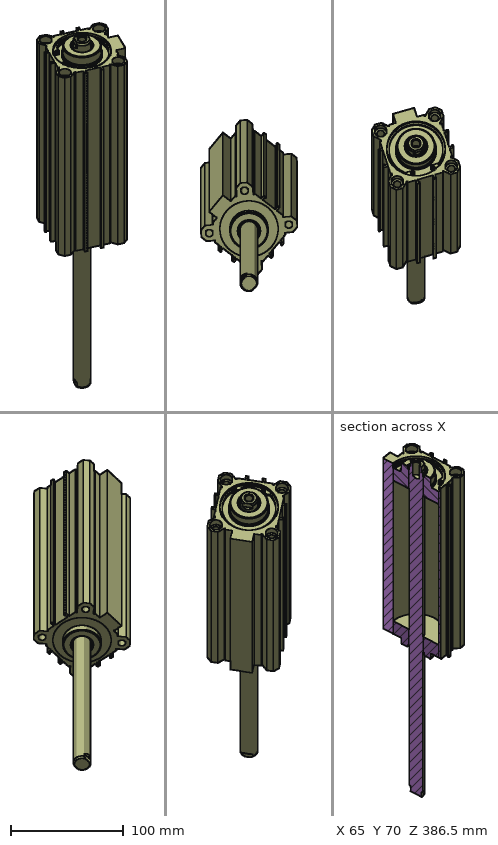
import cadquery as cq
import math


ROD_LENGTH = 386.5
BODY_BOTTOM = 173.5
BODY_HEIGHT = 200.0
BODY_TOP = BODY_BOTTOM + BODY_HEIGHT
TOP_BOSS_HEIGHT = 5.8
BOTTOM_BOSS_HEIGHT = 6.5

WALL_HALF = 28.5
WALL_WIDTH = 32.5
CORE_HALF = 27.5
ENVELOPE_HALF = 32.5
BOLT_OFFSET = 25.0
BOLT_HOLE_DIAMETER = 6.5
COUNTERBORE_DIAMETER = 11.0
COUNTERBORE_DEPTH = 7.0
BORE_DIAMETER = 51.8
PORT_BLOCK_WIDTH = 19.7
PORT_BLOCK_Y = 37.5

RAIL_OUTER = 9.0
RAIL_WEB = 2.0
RAIL_LIP_WIDTH = 2.7
RAIL_LIP_THICKNESS = 1.0
RAIL_ANGLES = (0, 90, 180)

RING_DIAMETER = 52.0
RING_INNER_DIAMETER = 48.0
RING_THICKNESS = 2.5
RING_DEPTH = 2.7
EAR_OUTER_X = 15.0
EAR_DIAMETER = 4.5
EAR_HOLE_DIAMETER = 2.5
EAR_HOLE_X = 9.5
EAR_HOLE_Y = 20.5

COVER_LENGTH = 15.5
BOSS_DIAMETER = 34.0
BOSS_CHAMFER = 0.8
TOP_BOSS_BASE_DIAMETER = 36.5
TOP_BOSS_BASE_HEIGHT = 2.0
WIPER_DIAMETER = 18.0
WIPER_MOUTH_DIAMETER = 20.5
WIPER_DEPTH = 3.0

ROD_DIAMETER = 16.0
ROD_CHAMFER_LENGTH = 2.0
ROD_CHAMFER_WIDTH = 1.0
FLATS_WIDTH = 12.8
FLATS_LENGTH = 5.5
THREAD_DIAMETER = 7.0
THREAD_MOUTH_DIAMETER = 8.5
THREAD_DEPTH = 15.5
DRILL_POINT_ANGLE = 140.0

COVER_SEAT = BODY_TOP - RING_DEPTH - RING_THICKNESS


def cylinder(diameter, bottom, top):
    return cq.Workplane("XY").workplane(offset=bottom).circle(diameter / 2).extrude(top - bottom)


def block(x_min, x_max, y_min, y_max, bottom, top):
    size = (x_max - x_min, y_max - y_min, top - bottom)
    return cq.Workplane("XY").box(*size, centered=False).translate((x_min, y_min, bottom))


def body_block(x_min, x_max, y_min, y_max):
    """A block as long as the housing."""
    return block(x_min, x_max, y_min, y_max, BODY_BOTTOM, BODY_TOP)


def corner_lug():
    """Octagonal lug around the bolt hole at +X +Y, with 45 degree flanks running into the core."""
    lug_half = ENVELOPE_HALF - BOLT_OFFSET
    flat_half = lug_half * math.tan(math.pi / 8)
    flat_start = BOLT_OFFSET - flat_half
    flat_end = BOLT_OFFSET + flat_half
    root = flat_start - (ENVELOPE_HALF - CORE_HALF)
    outline = [
        (root, CORE_HALF),
        (flat_start, ENVELOPE_HALF),
        (flat_end, ENVELOPE_HALF),
        (ENVELOPE_HALF, flat_end),
        (ENVELOPE_HALF, flat_start),
        (CORE_HALF, root),
    ]
    return cq.Workplane("XY").workplane(offset=BODY_BOTTOM).polyline(outline).close().extrude(BODY_HEIGHT)


def rail_pair():
    """The two facing rails on the -X wall."""
    web = body_block(-ENVELOPE_HALF, -WALL_HALF, RAIL_OUTER - RAIL_WEB, RAIL_OUTER)
    lip = body_block(
        -ENVELOPE_HALF, RAIL_LIP_THICKNESS - ENVELOPE_HALF, RAIL_OUTER - RAIL_LIP_WIDTH, RAIL_OUTER
    )
    rail = web.union(lip)
    return rail.union(rail.mirror("XZ"))


def about_axis(shape, angle):
    return shape.rotate((0, 0, 0), (0, 0, 1), angle)


def make_housing():
    half_wall = WALL_WIDTH / 2
    housing = body_block(-CORE_HALF, CORE_HALF, -CORE_HALF, CORE_HALF)
    housing = housing.union(body_block(-WALL_HALF, WALL_HALF, -half_wall, half_wall))
    housing = housing.union(body_block(-half_wall, half_wall, -WALL_HALF, WALL_HALF))
    for angle in (0, 90, 180, 270):
        housing = housing.union(about_axis(corner_lug(), angle))
    for angle in RAIL_ANGLES:
        housing = housing.union(about_axis(rail_pair(), angle))
    half_port = PORT_BLOCK_WIDTH / 2
    housing = housing.union(body_block(-half_port, half_port, 0, PORT_BLOCK_Y))
    housing = (
        housing.faces(">Z")
        .workplane(origin=(0, 0, BODY_TOP))
        .rect(2 * BOLT_OFFSET, 2 * BOLT_OFFSET, forConstruction=True)
        .vertices()
        .cboreHole(BOLT_HOLE_DIAMETER, COUNTERBORE_DIAMETER, COUNTERBORE_DEPTH)
    )
    bore = cylinder(BORE_DIAMETER, BODY_BOTTOM, BODY_TOP)
    ring_groove = cylinder(RING_DIAMETER, COVER_SEAT, COVER_SEAT + RING_THICKNESS)
    return housing.cut(bore).cut(ring_groove)


def cover(plug_bottom, plug_top, boss_top):
    """Plug that fills the bore, with a boss on it and a wiper recess around the rod."""
    plug = cylinder(BORE_DIAMETER, plug_bottom, plug_top)
    boss = cylinder(BOSS_DIAMETER, plug_top, boss_top).faces(">Z").chamfer(BOSS_CHAMFER)
    rod_hole = cylinder(ROD_DIAMETER, plug_bottom, boss_top)
    wiper_recess = cylinder(WIPER_DIAMETER, boss_top - WIPER_DEPTH, boss_top)
    mouth_chamfer = (WIPER_MOUTH_DIAMETER - WIPER_DIAMETER) / 2
    wiper_mouth = (
        cq.Workplane("XY")
        .workplane(offset=boss_top)
        .circle(WIPER_MOUTH_DIAMETER / 2)
        .workplane(offset=-mouth_chamfer)
        .circle(WIPER_DIAMETER / 2)
        .loft(ruled=True)
    )
    return plug.union(boss).cut(rod_hole).cut(wiper_recess).cut(wiper_mouth)


def make_top_cover():
    """The top plug sits under the retaining ring, and its boss starts with a wider base."""
    top_cover = cover(COVER_SEAT - COVER_LENGTH, COVER_SEAT, BODY_TOP + TOP_BOSS_HEIGHT)
    base = cylinder(TOP_BOSS_BASE_DIAMETER, COVER_SEAT, COVER_SEAT + TOP_BOSS_BASE_HEIGHT)
    return top_cover.union(base.cut(cylinder(BOSS_DIAMETER, COVER_SEAT, BODY_TOP)))


def make_bottom_cover():
    """The bottom plug ends flush with the housing; only its boss stands out."""
    upright = cover(-BODY_BOTTOM - COVER_LENGTH, -BODY_BOTTOM, BOTTOM_BOSS_HEIGHT - BODY_BOTTOM)
    return upright.mirror("XY")


def make_retaining_ring():
    """Ring open towards -Y, with a lug and a plier hole at each end."""
    bottom = COVER_SEAT
    top = COVER_SEAT + RING_THICKNESS
    disc = cylinder(RING_DIAMETER, bottom, top)
    gap = block(-EAR_HOLE_X, EAR_HOLE_X, -RING_DIAMETER, 0, bottom, top)
    ring = disc.cut(cylinder(RING_INNER_DIAMETER, bottom, top)).cut(gap)
    ear_inner_y = EAR_DIAMETER / 2 - EAR_HOLE_Y
    ear_root = block(EAR_HOLE_X, EAR_OUTER_X, -RING_DIAMETER / 2, ear_inner_y, bottom, top)
    ear_eye = cylinder(EAR_DIAMETER, bottom, top).translate((EAR_HOLE_X, -EAR_HOLE_Y, 0))
    ear = ear_root.intersect(disc).union(ear_eye)
    ear_hole = cylinder(EAR_HOLE_DIAMETER, bottom, top).translate((EAR_HOLE_X, -EAR_HOLE_Y, 0))
    for part in (ear, ear.mirror("YZ")):
        ring = ring.union(part)
    return ring.cut(ear_hole).cut(ear_hole.mirror("YZ"))


def thread_hole():
    """Drilled hole in the top end of the rod, with a countersunk mouth and a conical end."""
    radius = THREAD_DIAMETER / 2
    mouth_radius = THREAD_MOUTH_DIAMETER / 2
    floor = ROD_LENGTH - THREAD_DEPTH
    tip = floor - radius / math.tan(math.radians(DRILL_POINT_ANGLE / 2))
    profile = [
        (0, tip),
        (radius, floor),
        (radius, ROD_LENGTH - (mouth_radius - radius)),
        (mouth_radius, ROD_LENGTH),
        (0, ROD_LENGTH),
    ]
    return cq.Workplane("XZ").polyline(profile).close().revolve()


def flat_cut():
    """Cutter for the wrench flat on the +Y side of the lower end, running out upwards at 45 degrees."""
    flat_y = FLATS_WIDTH / 2
    profile = [
        (flat_y, 0),
        (ROD_DIAMETER, 0),
        (ROD_DIAMETER, FLATS_LENGTH + ROD_DIAMETER - flat_y),
        (flat_y, FLATS_LENGTH),
    ]
    return cq.Workplane("YZ").polyline(profile).close().extrude(ROD_DIAMETER / 2, both=True)


def make_rod():
    """Round rod with chamfered ends, two wrench flats at each end and a threaded top end."""
    radius = ROD_DIAMETER / 2
    end_radius = radius - ROD_CHAMFER_WIDTH
    profile = [
        (0, 0),
        (end_radius, 0),
        (radius, ROD_CHAMFER_LENGTH),
        (radius, ROD_LENGTH - ROD_CHAMFER_LENGTH),
        (end_radius, ROD_LENGTH),
        (0, ROD_LENGTH),
    ]
    rod = cq.Workplane("XZ").polyline(profile).close().revolve()
    lower_flat = flat_cut()
    upper_flat = lower_flat.mirror("XY").translate((0, 0, ROD_LENGTH))
    for flat in (lower_flat, upper_flat):
        rod = rod.cut(flat).cut(flat.mirror("XZ"))
    return rod.cut(thread_hole())


housing = make_housing()
top_cover = make_top_cover()
bottom_cover = make_bottom_cover()
retaining_ring = make_retaining_ring()
rod = make_rod()

result = cq.Compound.makeCompound(
    [housing.val(), top_cover.val(), bottom_cover.val(), retaining_ring.val(), rod.val()]
)